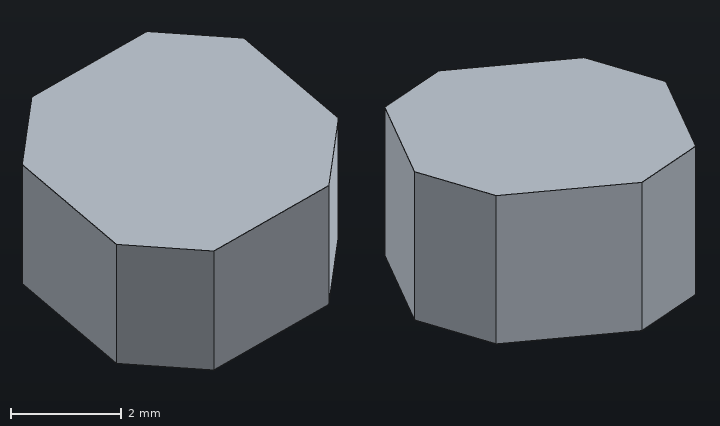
import cadquery as cq

width = 5.2
height = 3.0
corner_cut = 1.255

result = (
    cq.Workplane("XY")
    .box(width, width, height, centered=(True, True, False))
    .edges("|Z")
    .chamfer(corner_cut)
)